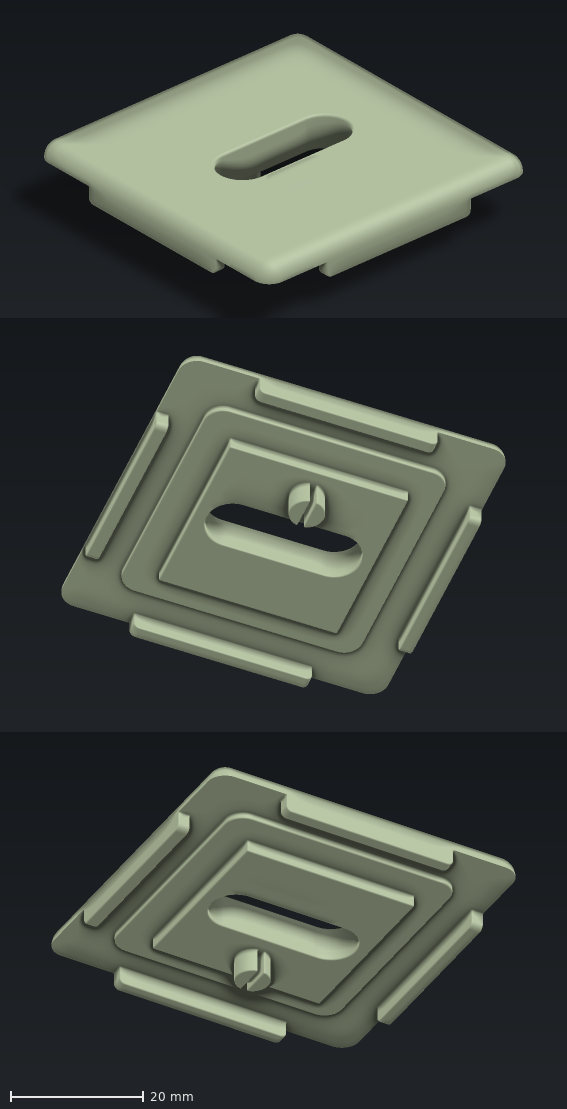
import cadquery as cq

PLATE_SIDE = 53.0
PLATE_THICKNESS = 3.0
EDGE_RADIUS = 2.95

TOTAL_HEIGHT = 10.0
BLOCK_DEPTH = 2.95
PAD_DEPTH = 1.0
PIN_DEPTH = TOTAL_HEIGHT - PLATE_THICKNESS

SOFT_RADIUS = 0.2

SKIRT_LENGTH = 29.0
SKIRT_THICKNESS = 2.0
SKIRT_DEPTH = BLOCK_DEPTH
SKIRT_CORNER_RADIUS = 1.0

PAD_SIDE = 39.0
PAD_CORNER_RADIUS = 3.0
BLOCK_SIDE = SKIRT_LENGTH

SLOT_WIDTH = 8.5
SLOT_LENGTH = 25.0
SLOT_LIP_RADIUS = 0.5

PIN_DIAMETER = 5.5
PIN_X = -9.5
PIN_SPLIT = 1.0


def make_plan_prism(bottom, top):
    """Upright block with the rounded square outline of the plate."""
    prism = cq.Workplane("XY", origin=(0, 0, bottom)).rect(PLATE_SIDE, PLATE_SIDE).extrude(top - bottom)
    return prism.edges("|Z").fillet(EDGE_RADIUS)


def make_plate():
    plate = make_plan_prism(0, PLATE_THICKNESS)
    return plate.faces(">Z").edges().fillet(EDGE_RADIUS)


def make_base():
    """Pad with the deeper block in its middle."""
    pad = cq.Workplane("XY").rect(PAD_SIDE, PAD_SIDE).extrude(-PAD_DEPTH)
    pad = pad.edges("|Z").fillet(PAD_CORNER_RADIUS)
    block = cq.Workplane("XY").rect(BLOCK_SIDE, BLOCK_SIDE).extrude(-BLOCK_DEPTH)
    return pad.union(block)


def make_pin():
    """Round pin, split along X from its tip up to the block."""
    pin = cq.Workplane("XY").center(PIN_X, 0).circle(PIN_DIAMETER / 2).extrude(-PIN_DEPTH)
    split = (
        cq.Workplane("XY", origin=(PIN_X, 0, -PIN_DEPTH))
        .rect(PIN_DIAMETER, PIN_SPLIT)
        .extrude(PIN_DEPTH - BLOCK_DEPTH)
    )
    return pin.cut(split)


def make_slot_cutter():
    return (
        cq.Workplane("XY", origin=(0, 0, -BLOCK_DEPTH))
        .slot2D(SLOT_LENGTH, SLOT_WIDTH, 90)
        .extrude(BLOCK_DEPTH + PLATE_THICKNESS)
    )


def make_skirt():
    """Skirt under the -Y edge, its foot flaring into the plate on the inner side and the ends."""
    center_y = (SKIRT_THICKNESS - PLATE_SIDE) / 2
    skirt = (
        cq.Workplane("XY")
        .box(SKIRT_LENGTH, SKIRT_THICKNESS, SKIRT_DEPTH)
        .translate((0, center_y, -SKIRT_DEPTH / 2))
        .edges("|Y and <Z")
        .fillet(SKIRT_CORNER_RADIUS)
        .faces("<Y or >Y")
        .edges("not >Z")
        .fillet(SOFT_RADIUS)
    )
    slab_length = SKIRT_LENGTH + 2 * SKIRT_THICKNESS
    slab_width = 3 * SKIRT_THICKNESS
    slab = cq.Workplane("XY", origin=(0, center_y, 0)).rect(slab_length, slab_width).extrude(SOFT_RADIUS)
    foot_edge = cq.selectors.NearestToPointSelector((0, center_y + SKIRT_THICKNESS / 2, 0))
    flared = slab.union(skirt).edges(foot_edge).fillet(SOFT_RADIUS)
    return flared.intersect(make_plan_prism(-SKIRT_DEPTH, 0))


result = make_plate().union(make_base()).union(make_pin()).cut(make_slot_cutter())

slot_end = cq.selectors.NearestToPointSelector((0, SLOT_LENGTH / 2, PLATE_THICKNESS))
result = result.faces(">Z").edges(slot_end).fillet(SLOT_LIP_RADIUS)

zone_reach = PAD_SIDE / 2 + SOFT_RADIUS
base_zone = cq.selectors.BoxSelector(
    (-zone_reach, -zone_reach, -PIN_DEPTH - SOFT_RADIUS),
    (zone_reach, zone_reach, SOFT_RADIUS),
    boundingbox=True,
)
result = result.edges(base_zone).fillet(SOFT_RADIUS)

skirt = make_skirt()
for quarter_turn in range(4):
    result = result.union(skirt.rotate((0, 0, 0), (0, 0, 1), 90 * quarter_turn))